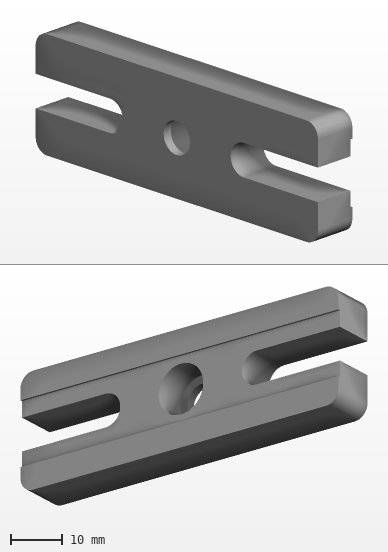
import cadquery as cq

length = 76.2
thickness = 9.5
height = 25.0
corner_radius = 3.05

slot_width = 7.1
slot_depth = 23.55
hole_diameter = slot_width

channel_height = 14.0
channel_depth = 0.5

front_hole_depth = 2.0
back_bore_diameter = 10.7


def back_cylinder(diameter, depth):
    """Cylinder running forward from the back face along the hole axis."""
    return (
        cq.Workplane("XZ", origin=(0, thickness / 2, 0))
        .circle(diameter / 2)
        .extrude(depth)
    )


def end_slot(side):
    """Round-bottomed slot open at the left (-1) or right (+1) end."""
    return (
        cq.Workplane("XZ")
        .center(side * length / 2, 0)
        .slot2D(2 * slot_depth, slot_width)
        .extrude(thickness / 2, both=True)
    )


plate = cq.Workplane("XY").box(length, thickness, height).edges("|Y").fillet(corner_radius)

channel = cq.Workplane("XY", origin=(0, thickness / 2, 0)).box(length, 2 * channel_depth, channel_height)

result = plate.cut(channel)
for side in (-1, 1):
    result = result.cut(end_slot(side))
result = result.cut(back_cylinder(hole_diameter, thickness))
result = result.cut(back_cylinder(back_bore_diameter, thickness - front_hole_depth))